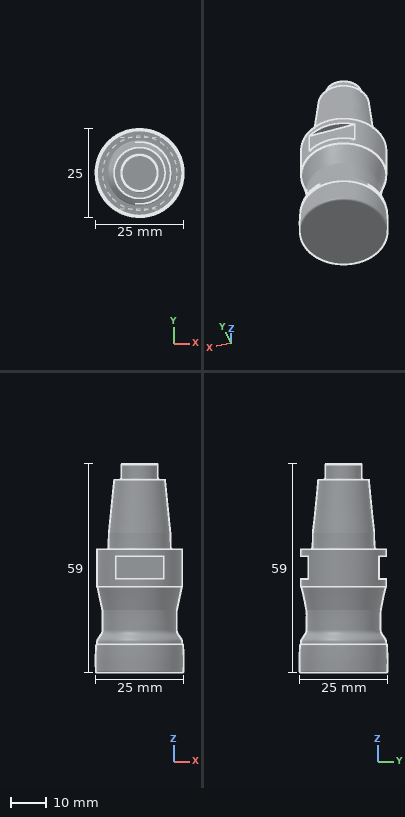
import cadquery as cq
import math

total_height = 59.0
cap_height = 8.1
bead_bottom_z = 8.55
bead_top_z = 9.7
shoulder_bottom_z = 10.85
neck_bottom_z = 12.15
neck_top_z = 15.0
flare_bottom_z = 17.7
collar_bottom_z = 24.35
collar_top_z = 34.9
skirt_top_z = 39.55
cone_top_z = 54.6

post_radius = 10.4 / 2
cone_top_radius = 7.2
skirt_top_radius = 8.75
skirt_bottom_radius = 8.85
collar_radius = 24.2 / 2
neck_radius = 21.0 / 2
flare_bottom_radius = 10.55
bead_radius = collar_radius

root_fillet = 0.5
post_chamfer = 0.2
collar_step = 0.1
shoulder_angle = math.radians(35)

flat_distance = 20.05
flat_bottom_z = 26.55
flat_top_z = 32.9

cap_radius = 25.0 / 2
cap_rim_radius = 12.35
cap_base_radius = 12.45
cap_base_rounding = 0.55
cap_rim_rounding = 0.35
cap_widest_z = 2.95


def make_housing_blank():
    """Revolve the stepped housing outline about the Z axis."""
    neck_arc = (neck_bottom_z - shoulder_bottom_z) / math.sin(shoulder_angle)
    bead_arc = (bead_top_z - bead_bottom_z) / math.sin(shoulder_angle)
    arc_offset = 1 - math.cos(shoulder_angle)
    shoulder_top = (neck_radius + neck_arc * arc_offset, shoulder_bottom_z)
    shoulder_foot = (bead_radius - bead_arc * arc_offset, bead_top_z)

    outline = (
        cq.Workplane("XZ")
        .moveTo(0, cap_height)
        .lineTo(bead_radius, cap_height)
        .lineTo(bead_radius, bead_bottom_z)
        .tangentArcPoint(shoulder_foot, relative=False)
        .lineTo(*shoulder_top)
        .tangentArcPoint((neck_radius, neck_bottom_z), relative=False)
        .lineTo(neck_radius, neck_top_z)
        .lineTo(flare_bottom_radius, flare_bottom_z)
        .lineTo(collar_radius - collar_step, collar_bottom_z)
        .lineTo(collar_radius, collar_bottom_z)
        .lineTo(collar_radius, collar_top_z)
        .lineTo(skirt_bottom_radius + root_fillet, collar_top_z)
        .radiusArc((skirt_bottom_radius, collar_top_z + root_fillet), root_fillet)
        .lineTo(skirt_top_radius, skirt_top_z)
        .lineTo(cone_top_radius, cone_top_z)
        .lineTo(post_radius + root_fillet, cone_top_z)
        .radiusArc((post_radius, cone_top_z + root_fillet), root_fillet)
        .lineTo(post_radius, total_height - post_chamfer)
        .lineTo(post_radius - post_chamfer, total_height)
        .lineTo(0, total_height)
        .close()
    )
    return outline.revolve(360, (0, 0, 0), (0, 1, 0))


def make_flat_cutter(side):
    """Block that removes the collar outside one wrench flat; side is -1 or 1."""
    depth = collar_radius
    return cq.Workplane("XY").box(
        2 * collar_radius, depth, flat_top_z - flat_bottom_z, centered=(True, True, False)
    ).translate((0, side * (flat_distance + depth) / 2, flat_bottom_z))


def make_housing():
    """Housing with a wrench flat on the front and on the back of its collar."""
    body = make_housing_blank()
    for side in (-1, 1):
        body = body.cut(make_flat_cutter(side))
    return body


def make_cap():
    """Slightly barrelled cap that closes the lower end of the housing."""
    outline = (
        cq.Workplane("XZ")
        .lineTo(cap_base_radius - cap_base_rounding, 0)
        .radiusArc((cap_base_radius, cap_base_rounding), -cap_base_rounding)
        .threePointArc((cap_radius, cap_widest_z), (cap_rim_radius, cap_height - cap_rim_rounding))
        .radiusArc((cap_rim_radius - cap_rim_rounding, cap_height), -cap_rim_rounding)
        .lineTo(0, cap_height)
        .close()
    )
    return outline.revolve(360, (0, 0, 0), (0, 1, 0))


housing = make_housing()
cap = make_cap()

result = cq.Compound.makeCompound([housing.val(), cap.val()])